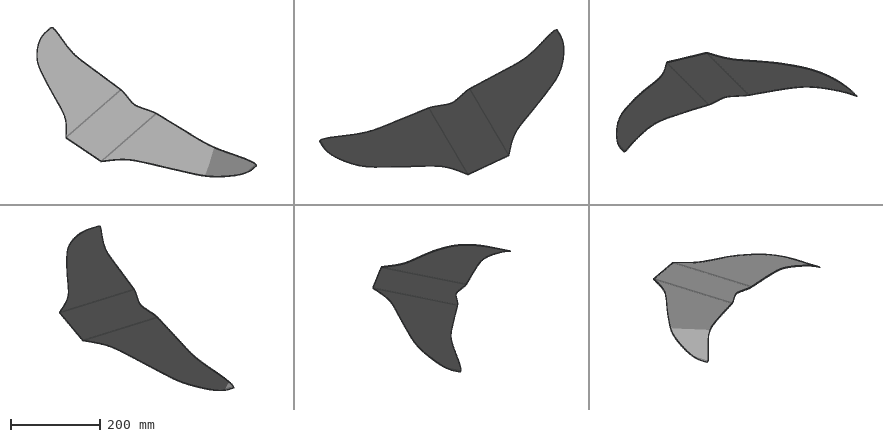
import cadquery as cq

span = 597.5
depth = 247.5
height = 64.0
thickness = 2.5
flat_width = 103.0
rear_fall = 0.125
notch_y = 57.0
notch_shoulder_y = 70.0
tip_length = 18.0
tip_bevel = 2.5
tip_width = 6.0

half_span = span / 2
half_depth = depth / 2
half_flat = flat_width / 2
tip_drop = height - thickness - rear_fall * depth


def mirrored(points):
    """Reflect points across the centre plane and reverse their order."""
    return [(-x, y) for x, y in reversed(points)]


front_z = height
tip_z = front_z - tip_drop
droop_curve = [
    (half_flat, front_z),
    (115.5, front_z - 1.0),
    (169.0, front_z - 3.5),
    (209.0, front_z - 8.0),
    (245.0, front_z - 14.0),
    (277.0, front_z - 21.5),
    (half_span - tip_bevel, tip_z),
]
lower_curve = [(x, z - thickness) for x, z in droop_curve[:-1]]
lower_curve.append((half_span, tip_z - thickness))

section = (
    cq.Workplane("XZ", origin=(0, -half_depth, 0))
    .moveTo(-half_flat, front_z)
    .lineTo(half_flat, front_z)
    .spline(droop_curve[1:], includeCurrent=True)
    .lineTo(half_span, tip_z - thickness)
    .spline(lower_curve[::-1][1:], includeCurrent=True)
    .lineTo(-half_flat, front_z - thickness)
    .spline([(-x, z) for x, z in lower_curve[1:]], includeCurrent=True)
    .lineTo(-half_span + tip_bevel, tip_z)
    .spline(mirrored(droop_curve)[1:], includeCurrent=True)
    .close()
)

slope = cq.Vector(0, depth, -rear_fall * depth)
sheet = cq.Workplane(cq.Solid.extrudeLinear(section.val(), [], slope))

front_edge = [
    (half_flat, -half_depth),
    (61.0, -111.0),
    (77.5, -91.0),
    (94.0, -76.5),
    (115.5, -63.5),
    (158.5, -41.0),
    (212.0, -11.0),
    (245.0, 12.0),
    (277.0, 50.0),
    (294.0, 83.5),
    (half_span, half_depth - tip_length),
]
rear_edge = [
    (half_span - tip_width, half_depth),
    (256.0, 106.5),
    (223.0, 91.5),
    (190.5, 81.0),
    (158.5, 77.0),
    (115.5, 74.0),
    (half_flat, notch_shoulder_y),
]
notch_edge = [(half_flat, notch_shoulder_y), (28.5, 64.0), (12.0, 58.5), (0, notch_y)]

outline = (
    cq.Workplane("XY")
    .moveTo(-half_flat, -half_depth)
    .lineTo(half_flat, -half_depth)
    .spline(front_edge[1:], includeCurrent=True)
    .lineTo(half_span, half_depth)
    .lineTo(*rear_edge[0])
    .spline(rear_edge[1:], includeCurrent=True)
    .spline(notch_edge[1:] + mirrored(notch_edge)[1:], includeCurrent=True)
    .spline(mirrored(rear_edge)[1:], includeCurrent=True)
    .lineTo(-half_span, half_depth)
    .lineTo(-half_span, half_depth - tip_length)
    .spline(mirrored(front_edge)[1:], includeCurrent=True)
    .close()
    .extrude(height)
)

result = sheet.intersect(outline)